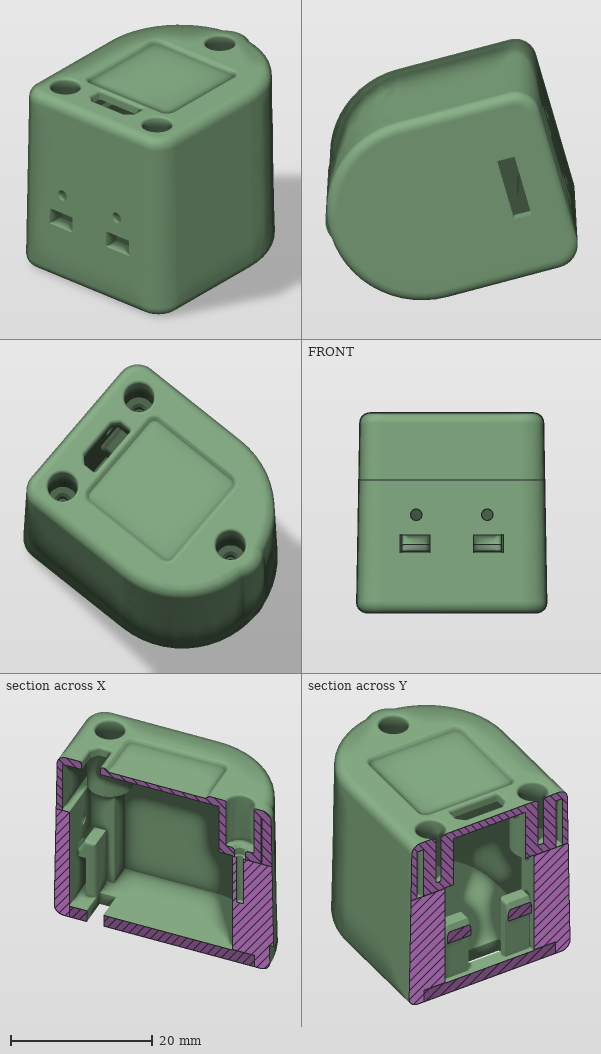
import cadquery as cq
import math

HEIGHT = 28.35
SPLIT_HEIGHT = 18.8
BASE_HALF_WIDTH = 13.5
BASE_FRONT = 20.0
CORNER_RADIUS = 3.5
DRAFT = 1.0
EDGE_FILLET = 1.5

RIB_BOTTOM = 4.5
RIB_RADIUS = 4.05
RIB_TIP = 14.07

HOUSING_WALL = 2.45
LID_WALL = 1.35
LID_TOP = 1.42
COVER_THICKNESS = 2.0

SCREW_POINTS = [(-8.5, -15.0), (8.5, -15.0), (0, 8.8)]
COUNTERBORE_RADIUS = 2.12
COUNTERBORE_DEPTH = 8.0
BORE_FILLET = 0.38
TUBE_RADIUS = 3.3
CLEARANCE_RADIUS = 0.8
CLEARANCE_CHAMFER = 0.4
PILOT_RADIUS = 0.5
PILOT_DEPTH = 8.0
PILLAR_HALF_WIDTH = 1.15

WINDOW_FLOOR_SIZE = 15.0
WINDOW_Y = -4.0
WINDOW_DEPTH = 0.53
WINDOW_FILLET = 0.54
WINDOW_SLOPE = 0.53
WINDOW_CORNER_RADIUS = 0.9

SLOT_HALF_WIDTH = 4.0
SLOT_FRONT_HALF_WIDTH = 3.0
SLOT_BACK = -12.8
SLOT_SHOULDER = -14.7
SLOT_FRONT = -15.65
SLOT_FILLET = 0.45
SLOT_CORNER_RADIUS = 0.3

LIGHT_HOLE_X = 5.03
LIGHT_HOLE_Z = 13.9
LIGHT_HOLE_RADIUS = 0.8
LATCH_WINDOW_X = 5.22
LATCH_WINDOW_WIDTH = 4.25
LATCH_WINDOW_BOTTOM = 8.6
LATCH_WINDOW_TOP = 11.05

LATCH_X = 5.05
LATCH_WIDTH = 4.0
LATCH_BACK = -14.85
LATCH_ARM_THICKNESS = 1.5
LATCH_TOP = 11.6
NUB_REACH = 0.25
NUB_BOTTOM = 8.75
NUB_CHAMFER_START = 9.7
NUB_CHAMFER = 0.35
NUB_RAMP_RUN = 0.8
LATCH_CORNER_RADIUS = 0.5

COVER_OPENING_WIDTH = 9.0
COVER_OPENING_BACK = -12.3

CAVITY_FRONT = HOUSING_WALL - BASE_FRONT
PICK_MARGIN = 0.1


def outline(inset, z):
    """Outer outline at the base, moved inwards by inset and placed at height z."""
    half = BASE_HALF_WIDTH - inset
    front = inset - BASE_FRONT
    radius = CORNER_RADIUS - inset
    bend = radius * (1 - math.sqrt(0.5))
    return (
        cq.Workplane("XY", origin=(0, 0, z))
        .moveTo(half, 0)
        .threePointArc((0, half), (-half, 0))
        .lineTo(-half, front + radius)
        .threePointArc((-half + bend, front + bend), (-half + radius, front))
        .lineTo(half - radius, front)
        .threePointArc((half - bend, front + bend), (half, front + radius))
        .close()
    )


def make_shell():
    body = outline(0, 0).extrude(HEIGHT, taper=DRAFT)
    body = body.faces(">Z").edges().fillet(EDGE_FILLET)
    body = body.faces("<Z").edges().fillet(EDGE_FILLET)
    rib = (
        cq.Workplane("XY", origin=(0, RIB_TIP - RIB_RADIUS, RIB_BOTTOM))
        .circle(RIB_RADIUS)
        .extrude(HEIGHT - RIB_BOTTOM, taper=DRAFT)
        .faces(">Z").edges().fillet(EDGE_FILLET)
    )
    return body.union(rib)


def upper_space():
    size = 4 * BASE_FRONT
    return cq.Workplane("XY", origin=(0, 0, SPLIT_HEIGHT)).rect(size, size).extrude(HEIGHT)


def make_pillar(x, y):
    """Screw pillar from the cover to the lid, wide enough to run into the nearest walls."""
    left = -BASE_HALF_WIDTH if x < 0 else x - PILLAR_HALF_WIDTH
    right = BASE_HALF_WIDTH if x > 0 else x + PILLAR_HALF_WIDTH
    front = -BASE_FRONT if y < 0 else y - PILLAR_HALF_WIDTH
    back = BASE_FRONT if y > 0 else y + PILLAR_HALF_WIDTH
    return (
        cq.Workplane("XY", origin=((left + right) / 2, (front + back) / 2, COVER_THICKNESS))
        .rect(right - left, back - front)
        .extrude(SPLIT_HEIGHT - COVER_THICKNESS)
    )


def make_housing(shell):
    housing = shell.cut(upper_space())
    housing = housing.cut(outline(HOUSING_WALL, 0).extrude(SPLIT_HEIGHT))
    pillar_limit = outline(HOUSING_WALL / 2, 0).extrude(SPLIT_HEIGHT)
    for x, y in SCREW_POINTS:
        housing = housing.union(make_pillar(x, y).intersect(pillar_limit))
    pilots = (
        cq.Workplane("XY", origin=(0, 0, SPLIT_HEIGHT))
        .pushPoints(SCREW_POINTS)
        .circle(PILOT_RADIUS)
        .extrude(-PILOT_DEPTH)
    )
    housing = housing.cut(pilots)
    wall_reach = BASE_FRONT + CAVITY_FRONT
    front = cq.Workplane("XZ", origin=(0, CAVITY_FRONT, 0))
    lights = (
        front.pushPoints([(-LIGHT_HOLE_X, LIGHT_HOLE_Z), (LIGHT_HOLE_X, LIGHT_HOLE_Z)])
        .circle(LIGHT_HOLE_RADIUS)
        .extrude(wall_reach)
    )
    window_z = (LATCH_WINDOW_BOTTOM + LATCH_WINDOW_TOP) / 2
    windows = (
        front.pushPoints([(-LATCH_WINDOW_X, window_z), (LATCH_WINDOW_X, window_z)])
        .rect(LATCH_WINDOW_WIDTH, LATCH_WINDOW_TOP - LATCH_WINDOW_BOTTOM)
        .extrude(wall_reach)
    )
    return housing.cut(lights).cut(windows)


def cut_window(lid):
    slope_angle = math.degrees(math.atan2(WINDOW_SLOPE, WINDOW_DEPTH))
    recess = (
        cq.Workplane("XY", origin=(0, WINDOW_Y, HEIGHT - WINDOW_DEPTH))
        .sketch()
        .rect(WINDOW_FLOOR_SIZE, WINDOW_FLOOR_SIZE)
        .vertices().fillet(WINDOW_CORNER_RADIUS)
        .finalize()
        .extrude(WINDOW_DEPTH, taper=-slope_angle)
    )
    reach = WINDOW_FLOOR_SIZE / 2 + WINDOW_SLOPE + WINDOW_FILLET
    rim = cq.selectors.BoxSelector(
        (-reach, WINDOW_Y - reach, HEIGHT - PICK_MARGIN),
        (reach, WINDOW_Y + reach, HEIGHT + PICK_MARGIN),
    )
    return lid.cut(recess).edges(rim).fillet(WINDOW_FILLET)


def cut_cable_slot(lid):
    slot = (
        cq.Workplane("XY", origin=(0, 0, HEIGHT - LID_TOP))
        .polyline([
            (-SLOT_HALF_WIDTH, SLOT_BACK),
            (SLOT_HALF_WIDTH, SLOT_BACK),
            (SLOT_HALF_WIDTH, SLOT_SHOULDER),
            (SLOT_FRONT_HALF_WIDTH, SLOT_FRONT),
            (-SLOT_FRONT_HALF_WIDTH, SLOT_FRONT),
            (-SLOT_HALF_WIDTH, SLOT_SHOULDER),
        ])
        .close()
        .extrude(LID_TOP)
        .edges("|Z").fillet(SLOT_CORNER_RADIUS)
    )
    rim = cq.selectors.BoxSelector(
        (-SLOT_HALF_WIDTH - PICK_MARGIN, SLOT_FRONT - PICK_MARGIN, HEIGHT - PICK_MARGIN),
        (SLOT_HALF_WIDTH + PICK_MARGIN, SLOT_BACK + PICK_MARGIN, HEIGHT + PICK_MARGIN),
    )
    return lid.cut(slot).edges(rim).fillet(SLOT_FILLET)


def screw_cutter():
    """Revolved profile of one counterbored screw hole with its rounded mouth."""
    floor = HEIGHT - COUNTERBORE_DEPTH
    mouth = COUNTERBORE_RADIUS + BORE_FILLET
    bend = BORE_FILLET * (1 - math.sqrt(0.5))
    return (
        cq.Workplane("XZ")
        .moveTo(0, SPLIT_HEIGHT)
        .lineTo(CLEARANCE_RADIUS, SPLIT_HEIGHT)
        .lineTo(CLEARANCE_RADIUS, floor - CLEARANCE_CHAMFER)
        .lineTo(CLEARANCE_RADIUS + CLEARANCE_CHAMFER, floor)
        .lineTo(COUNTERBORE_RADIUS, floor)
        .lineTo(COUNTERBORE_RADIUS, HEIGHT - BORE_FILLET)
        .threePointArc((COUNTERBORE_RADIUS + bend, HEIGHT - bend), (mouth, HEIGHT))
        .lineTo(0, HEIGHT)
        .close()
        .revolve(360, (0, 0, 0), (0, 1, 0))
    )


def make_lid(shell):
    lid = shell.intersect(upper_space())
    cavity_height = HEIGHT - LID_TOP - SPLIT_HEIGHT
    cavity = outline(LID_WALL, SPLIT_HEIGHT).extrude(cavity_height)
    tubes = (
        cq.Workplane("XY", origin=(0, 0, SPLIT_HEIGHT))
        .pushPoints(SCREW_POINTS)
        .circle(TUBE_RADIUS)
        .extrude(cavity_height)
    )
    lid = lid.cut(cavity.cut(tubes))
    lid = cut_cable_slot(cut_window(lid))
    for x, y in SCREW_POINTS:
        lid = lid.cut(screw_cutter().translate((x, y, 0)))
    return lid


def make_latch(x):
    """Upright arm with a ramped nub behind one latch window."""
    nub_front = CAVITY_FRONT - NUB_REACH
    arm_front = LATCH_BACK - LATCH_ARM_THICKNESS
    profile = [
        (LATCH_BACK, COVER_THICKNESS),
        (LATCH_BACK, LATCH_TOP),
        (nub_front + NUB_CHAMFER + NUB_RAMP_RUN, LATCH_TOP),
        (nub_front + NUB_CHAMFER, NUB_CHAMFER_START + NUB_CHAMFER),
        (nub_front, NUB_CHAMFER_START),
        (nub_front, NUB_BOTTOM),
        (arm_front, NUB_BOTTOM),
        (arm_front, COVER_THICKNESS),
    ]
    latch = (
        cq.Workplane("YZ", origin=(x - LATCH_WIDTH / 2, 0, 0))
        .polyline(profile)
        .close()
        .extrude(LATCH_WIDTH)
    )
    reach = LATCH_WIDTH / 2 + PICK_MARGIN
    upper_edges = cq.selectors.BoxSelector(
        (x - reach, nub_front - PICK_MARGIN, NUB_BOTTOM + PICK_MARGIN),
        (x + reach, LATCH_BACK - PICK_MARGIN, LATCH_TOP + PICK_MARGIN),
    )
    back_edges = cq.selectors.BoxSelector(
        (x - reach, LATCH_BACK - PICK_MARGIN, COVER_THICKNESS + PICK_MARGIN),
        (x + reach, LATCH_BACK + PICK_MARGIN, LATCH_TOP - PICK_MARGIN),
    )
    side_edges = latch.faces("<X or >X").edges(upper_edges + back_edges)
    return side_edges.fillet(LATCH_CORNER_RADIUS)


def make_cover():
    cover = outline(HOUSING_WALL, 0).extrude(COVER_THICKNESS)
    opening = (
        cq.Workplane("XY", origin=(0, (LATCH_BACK + COVER_OPENING_BACK) / 2, 0))
        .rect(COVER_OPENING_WIDTH, COVER_OPENING_BACK - LATCH_BACK)
        .extrude(COVER_THICKNESS)
    )
    cover = cover.cut(opening)
    for side in (-1, 1):
        cover = cover.union(make_latch(side * LATCH_X))
    return cover


shell = make_shell()
housing = make_housing(shell)
lid = make_lid(shell)
cover = make_cover()

result = cq.Compound.makeCompound([housing.val(), lid.val(), cover.val()])